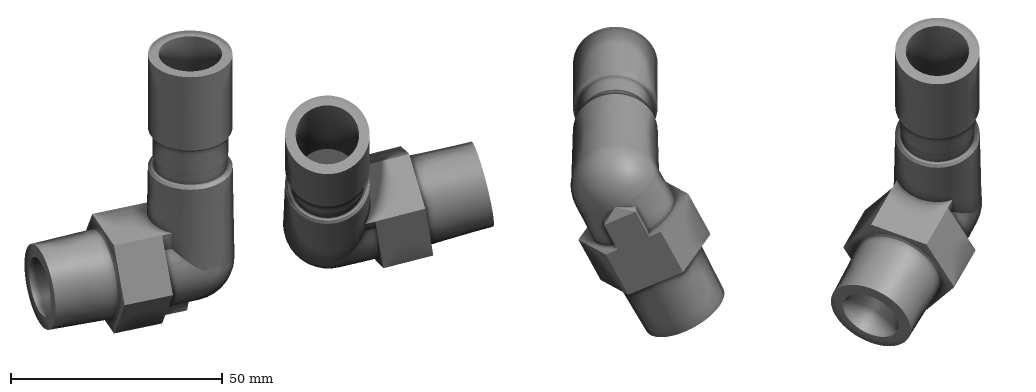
import cadquery as cq
import math


hex_across_corners = 28.9
hex_side = hex_across_corners / 2
hex_half_flats = hex_across_corners * math.sqrt(3) / 4
hex_back = 9.8
hex_front = 22.05

elbow_radius = 10.7
elbow_offset = 0.2
elbow_back = elbow_radius - elbow_offset
body_top = 25.3
body_top_radius = 10.05
body_chamfer_height = 0.6
body_chamfer_width = 0.6
leg_radius = 10.9

top_z = 69.75 - hex_half_flats
tube_diameter = 20.0
tube_bottom = 36.4
tube_chamfer_height = 0.9
neck_diameter = 18.0
neck_bottom = 29.2
lower_neck_diameter = 17.5

end_y = 48.5 - elbow_back
end_radius = 10.4
shoulder_radius = 11.4
shoulder_length = 0.4

passage_diameter = 14.5
passage_top = body_top
tube_bore_diameter = 15.0
tube_bore_floor = neck_bottom

lower_web_width = 8.2
lower_web_back = 2.4


def make_upright_leg():
    """Tapered body, stepped neck and tube turned about Z."""
    tube_radius = tube_diameter / 2
    neck_radius = neck_diameter / 2
    lower_neck_radius = lower_neck_diameter / 2
    body_chamfer_top = body_top + body_chamfer_height
    profile = [
        (0, 0),
        (elbow_back, 0),
        (body_top_radius, body_top),
        (body_top_radius - body_chamfer_width, body_chamfer_top),
        (lower_neck_radius, body_chamfer_top),
        (lower_neck_radius, neck_bottom),
        (neck_radius, neck_bottom),
        (neck_radius, tube_bottom - tube_chamfer_height),
        (tube_radius, tube_bottom),
        (tube_radius, top_z),
        (0, top_z),
    ]
    return cq.Workplane("XZ").polyline(profile).close().revolve(360, (0, 0), (0, 1))


def make_threaded_leg():
    """Round elbow corner, body leg, shoulder and tapered end turned about Y."""
    shoulder_front = hex_front + shoulder_length
    diagonal = elbow_radius * math.sqrt(0.5)
    profile = [
        (leg_radius, -hex_back),
        (leg_radius, -hex_front),
        (shoulder_radius, -hex_front),
        (leg_radius, -shoulder_front),
        (end_radius, -end_y),
        (0, -end_y),
    ]
    return (
        cq.Workplane("XY")
        .moveTo(0, elbow_back)
        .threePointArc((diagonal, diagonal - elbow_offset), (elbow_radius, -elbow_offset))
        .polyline(profile, includeCurrent=True)
        .close()
        .revolve(360, (0, 0), (0, 1))
    )


def make_hexagon():
    """Hexagon with its flats at top and bottom."""
    return (
        cq.Workplane("XZ", origin=(0, -hex_back, 0))
        .polygon(6, hex_across_corners)
        .extrude(hex_front - hex_back)
    )


def make_upper_web():
    """Continue the top flat of the hexagon back into the upright leg."""
    return (
        cq.Workplane("XY", origin=(0, -hex_back / 2, 0))
        .rect(hex_side, hex_back)
        .extrude(hex_half_flats)
    )


def make_lower_web():
    """Continue the bottom flat back under the elbow, ending in a sloped point."""
    half_width = lower_web_width / 2
    side_profile = [
        (-hex_back, 0),
        (-hex_back, -hex_half_flats),
        (-lower_web_back, -hex_half_flats),
        (0, -elbow_radius),
        (0, 0),
    ]
    bottom_outline = [
        (-half_width, -hex_back),
        (half_width, -hex_back),
        (half_width, -lower_web_back),
        (0, 0),
        (-half_width, -lower_web_back),
    ]
    side_shape = cq.Workplane("YZ").polyline(side_profile).close().extrude(half_width, both=True)
    pointed_shape = cq.Workplane("XY").polyline(bottom_outline).close().extrude(-hex_half_flats)
    return side_shape.intersect(pointed_shape)


def make_passage():
    """Bent passage with a spherical corner, closed at the top of the body."""
    radius = passage_diameter / 2
    upright = cq.Workplane("XY").circle(radius).extrude(passage_top)
    forward = cq.Workplane("XZ").circle(radius).extrude(end_y)
    return upright.union(forward).union(cq.Workplane("XY").sphere(radius))


def make_tube_bore():
    """Flat-bottomed bore from the open end of the tube."""
    depth = top_z - tube_bore_floor
    return (
        cq.Workplane("XY", origin=(0, 0, tube_bore_floor))
        .circle(tube_bore_diameter / 2)
        .extrude(depth)
    )


fitting = make_threaded_leg()
for piece in (
    make_upright_leg(),
    make_hexagon(),
    make_upper_web(),
    make_lower_web(),
):
    fitting = fitting.union(piece)

result = fitting.cut(make_passage()).cut(make_tube_bore())